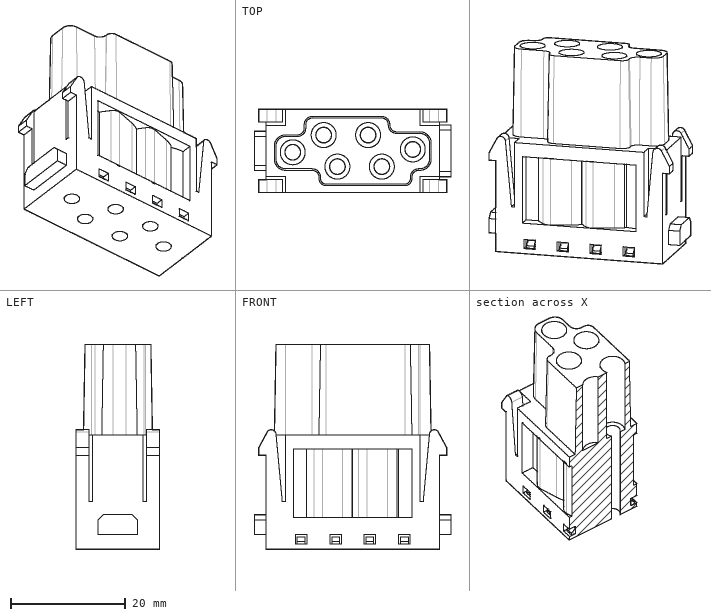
import cadquery as cq
import math

TOTAL_LENGTH = 34.4
TOTAL_HEIGHT = 35.8

BODY_LENGTH = 30.35
BODY_WIDTH = 14.6
BODY_HEIGHT = 19.98
BODY_END = BODY_LENGTH / 2
BODY_SIDE = BODY_WIDTH / 2

TOWER_HEIGHT = TOTAL_HEIGHT - BODY_HEIGHT
TOWER_DRAFT = 1.0
TOWER_END = 13.7
TOWER_FRONT, TOWER_BACK = -6.1, 6.0
TOWER_CORNER_RADIUS = 1.97
FRONT_STEP_OUTER_RADIUS = 1.25
BACK_STEP_OUTER_RADIUS = 1.43
STEP_INNER_RADIUS = 1.18
FRONT_SHOULDER_Y = -3.4
LEFT_BACK_SHOULDER_Y = 2.8
RIGHT_BACK_SHOULDER_Y = 3.33
FRONT_STEP_X = (-5.9, 10.35)
BACK_STEP_X = (-8.5, 6.48)

CAVITY_CENTRES = [(-10.5, -0.25), (-2.7, -2.75), (5.1, -2.75)]
CAVITY_MOUTH_DIAMETER = 4.35
CAVITY_DIAMETER = 2.7

LATCH_WIDTH = 2.3
LATCH_GAP = 0.57
LATCH_TIP_DIAMETER = 1.7
LATCH_TIP_X = 14.25
LATCH_TOP = 20.9
LATCH_ROOT_X = 12.3
LATCH_ROOT_Z = 8.35
HOOK_X = 16.45
HOOK_BOTTOM, HOOK_NOSE = 16.45, 17.75
NOTCH_X = 11.78

TAB_BOTTOM, TAB_TOP = 2.55, 6.05
TAB_CHAMFER = 0.93
LEFT_TAB_WIDTH, RIGHT_TAB_WIDTH = 6.9, 9.1

WINDOW_LENGTH = 20.65
WINDOW_BOTTOM, WINDOW_TOP = 5.5, 17.55
WINDOW_END = WINDOW_LENGTH / 2
WINDOW_FLOOR_Y = -4.98
RIDGE_COUNT = 2
RIDGE_PITCH = 7.8
FIRST_RIDGE_X = -5.3
RIDGE_CREST_Y = -7.12
RIDGE_LEFT_FOOT, RIDGE_RIGHT_FOOT = -2.8, 5.48
RIDGE_SHOULDER = (-1.5, -6.55)
SLOPE_END = (3.55, -6.1)
RIDGE_KNEE = (5.2, -5.35)
END_RISE = 0.4
RISE_BULGE = 0.1

POCKET_POSITIONS = (-9.02, -2.97, 2.97, 9.02)
POCKET_LENGTH = 2.05
POCKET_BOTTOM, POCKET_TOP = 0.93, 2.58
POCKET_DEPTH = 1.3
RAMP_LENGTH = 1.35
RAMP_NOSE_Z, RAMP_TOP_Z = 1.35, 2.15
RAMP_NOSE_DEPTH = 0.5


def half_turn(shape):
    return shape.rotate((0, 0, 0), (0, 0, 1), 180)


def box_between(x_range, y_range, z_range):
    (x0, x1), (y0, y1), (z0, z1) = x_range, y_range, z_range
    return cq.Workplane("XY").box(x1 - x0, y1 - y0, z1 - z0, centered=False).translate((x0, y0, z0))


def make_tower():
    """Drafted tower with stepped long sides; each corner is given as X, Y and rounding radius."""
    corners = [
        (-TOWER_END, LEFT_BACK_SHOULDER_Y, TOWER_CORNER_RADIUS),
        (-TOWER_END, FRONT_SHOULDER_Y, TOWER_CORNER_RADIUS),
        (FRONT_STEP_X[0], FRONT_SHOULDER_Y, STEP_INNER_RADIUS),
        (FRONT_STEP_X[0], TOWER_FRONT, FRONT_STEP_OUTER_RADIUS),
        (FRONT_STEP_X[1], TOWER_FRONT, FRONT_STEP_OUTER_RADIUS),
        (FRONT_STEP_X[1], FRONT_SHOULDER_Y, STEP_INNER_RADIUS),
        (TOWER_END, FRONT_SHOULDER_Y, TOWER_CORNER_RADIUS),
        (TOWER_END, RIGHT_BACK_SHOULDER_Y, TOWER_CORNER_RADIUS),
        (BACK_STEP_X[1], RIGHT_BACK_SHOULDER_Y, STEP_INNER_RADIUS),
        (BACK_STEP_X[1], TOWER_BACK, BACK_STEP_OUTER_RADIUS),
        (BACK_STEP_X[0], TOWER_BACK, BACK_STEP_OUTER_RADIUS),
        (BACK_STEP_X[0], LEFT_BACK_SHOULDER_Y, STEP_INNER_RADIUS),
    ]
    outline = cq.Workplane("XY", origin=(0, 0, BODY_HEIGHT))
    previous = corners[-1]
    for index, (x, y, radius) in enumerate(corners):
        following = corners[(index + 1) % len(corners)]
        start = point_towards((x, y), previous, radius)
        end = point_towards((x, y), following, radius)
        bulge = 1 - math.sqrt(0.5)
        middle = (x + bulge * (start[0] + end[0] - 2 * x), y + bulge * (start[1] + end[1] - 2 * y))
        outline = outline.moveTo(*start) if index == 0 else outline.lineTo(*start)
        outline = outline.threePointArc(middle, end)
        previous = (x, y)
    return outline.close().extrude(TOWER_HEIGHT, taper=TOWER_DRAFT)


def point_towards(corner, target, distance):
    """Point on an axis-parallel edge, the given distance from its corner."""
    dx, dy = target[0] - corner[0], target[1] - corner[1]
    share = distance / math.hypot(dx, dy)
    return corner[0] + dx * share, corner[1] + dy * share


def make_cavities():
    """Six through holes, wide along the tower and narrow through the body."""
    bores = (
        cq.Workplane("XY").pushPoints(CAVITY_CENTRES)
        .circle(CAVITY_DIAMETER / 2).extrude(TOTAL_HEIGHT)
    )
    mouths = (
        cq.Workplane("XY", origin=(0, 0, BODY_HEIGHT)).pushPoints(CAVITY_CENTRES)
        .circle(CAVITY_MOUTH_DIAMETER / 2).extrude(TOWER_HEIGHT)
    )
    cavities = bores.union(mouths)
    return cavities.union(half_turn(cavities))


def tip_tangent(point, side):
    """Point where a line from the given point touches the latch tip; side is +1 outside, -1 inside."""
    radius = LATCH_TIP_DIAMETER / 2
    dx, dz = point[0] - LATCH_TIP_X, point[1] - (LATCH_TOP - radius)
    angle = math.atan2(dz, dx) + side * math.acos(radius / math.hypot(dx, dz))
    return LATCH_TIP_X + radius * math.cos(angle), LATCH_TOP - radius + radius * math.sin(angle)


def make_latch():
    """Latch at the +X, -Y corner: a tapering arm with an outward hook and a round tip."""
    nose = (HOOK_X, HOOK_NOSE)
    root = (LATCH_ROOT_X, LATCH_ROOT_Z)
    return (
        cq.Workplane("XZ", origin=(0, -BODY_SIDE, 0))
        .moveTo(*root).lineTo(BODY_END, LATCH_ROOT_Z).lineTo(BODY_END, HOOK_BOTTOM)
        .lineTo(HOOK_X, HOOK_BOTTOM).lineTo(*nose).lineTo(*tip_tangent(nose, 1))
        .threePointArc((LATCH_TIP_X, LATCH_TOP), tip_tangent(root, -1))
        .close().extrude(-LATCH_WIDTH)
    )


def make_latch_notch():
    """Corner cut-out that frees the +X, -Y latch from the body."""
    notch_side = -BODY_SIDE + LATCH_WIDTH + LATCH_GAP
    return box_between((NOTCH_X, BODY_END), (-BODY_SIDE, notch_side), (LATCH_ROOT_Z, BODY_HEIGHT))


def at_four_corners(shape):
    pair = shape.union(shape.mirror("YZ"))
    return pair.union(pair.mirror("XZ"))


def make_tab(direction, width):
    tab_end = TOTAL_LENGTH / 2
    x_range = sorted((direction * BODY_END, direction * tab_end))
    tab = box_between(x_range, (-width / 2, width / 2), (TAB_BOTTOM, TAB_TOP))
    return tab.edges("|X and >Z").chamfer(TAB_CHAMFER)


def make_ridge(crest_x):
    """Ridge with a rounded left shoulder, a long flat slope and a curved right foot."""
    return (
        cq.Workplane("XY", origin=(crest_x, 0, WINDOW_BOTTOM))
        .moveTo(0, RIDGE_CREST_Y).lineTo(*SLOPE_END)
        .tangentArcPoint(RIDGE_KNEE, relative=False).lineTo(RIDGE_RIGHT_FOOT, WINDOW_FLOOR_Y)
        .lineTo(RIDGE_LEFT_FOOT, WINDOW_FLOOR_Y).lineTo(*RIDGE_SHOULDER)
        .tangentArcPoint((0, RIDGE_CREST_Y), relative=False)
        .close().extrude(WINDOW_TOP - WINDOW_BOTTOM)
    )


def make_window():
    """Recess in the -Y side, with two ridges left standing and a floor that rises to the right."""
    recess = box_between(
        (-WINDOW_END, WINDOW_END), (-BODY_SIDE, WINDOW_FLOOR_Y), (WINDOW_BOTTOM, WINDOW_TOP)
    )
    rise_start = FIRST_RIDGE_X + (RIDGE_COUNT - 1) * RIDGE_PITCH + RIDGE_RIGHT_FOOT
    rise_end = (WINDOW_END, WINDOW_FLOOR_Y - END_RISE)
    rise = (
        cq.Workplane("XY", origin=(0, 0, WINDOW_BOTTOM))
        .moveTo(*rise_end).lineTo(WINDOW_END, WINDOW_FLOOR_Y).lineTo(rise_start, WINDOW_FLOOR_Y)
        .sagittaArc(rise_end, -RISE_BULGE)
        .close().extrude(WINDOW_TOP - WINDOW_BOTTOM)
    )
    recess = recess.cut(rise)
    for index in range(RIDGE_COUNT):
        recess = recess.cut(make_ridge(FIRST_RIDGE_X + index * RIDGE_PITCH))
    return recess


def make_pocket(x):
    """Shallow pocket in the -Y side with a ramp on its back wall."""
    back = -BODY_SIDE + POCKET_DEPTH
    nose = -BODY_SIDE + RAMP_NOSE_DEPTH
    half_length = POCKET_LENGTH / 2
    pocket = box_between(
        (x - half_length, x + half_length), (-BODY_SIDE, back), (POCKET_BOTTOM, POCKET_TOP)
    )
    ramp = (
        cq.Workplane("YZ", origin=(x, 0, 0))
        .moveTo(back, POCKET_BOTTOM).lineTo(nose, POCKET_BOTTOM).lineTo(nose, RAMP_NOSE_Z)
        .lineTo(back, RAMP_TOP_Z).close().extrude(RAMP_LENGTH / 2, both=True)
    )
    return pocket.cut(ramp)


body = box_between((-BODY_END, BODY_END), (-BODY_SIDE, BODY_SIDE), (0, BODY_HEIGHT))
body = body.cut(at_four_corners(make_latch_notch())).union(at_four_corners(make_latch()))
body = body.union(make_tab(-1, LEFT_TAB_WIDTH)).union(make_tab(1, RIGHT_TAB_WIDTH))

side_recesses = make_window()
for position in POCKET_POSITIONS:
    side_recesses = side_recesses.union(make_pocket(position))
body = body.cut(side_recesses).cut(half_turn(side_recesses))

result = body.union(make_tower()).cut(make_cavities())